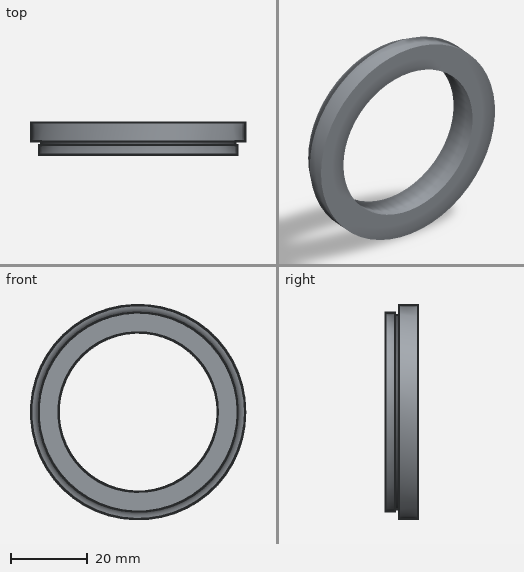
import cadquery as cq

flange_diameter = 56.0
lip_diameter = 52.0
groove_diameter = 50.8
bore_diameter = 41.55

total_width = 8.5
lip_width = 2.5
groove_width = 1.0
flange_width = total_width - lip_width - groove_width


def ring(outer_diameter, start_y, width):
    """Return a bored ring that extends from start_y toward +Y."""
    return (
        cq.Workplane("XZ", origin=(0, start_y, 0))
        .circle(outer_diameter / 2)
        .circle(bore_diameter / 2)
        .extrude(-width)
    )


lip = ring(lip_diameter, 0, lip_width)
groove_floor = ring(groove_diameter, lip_width, groove_width)
flange = ring(flange_diameter, lip_width + groove_width, flange_width)

result = lip.union(groove_floor).union(flange)